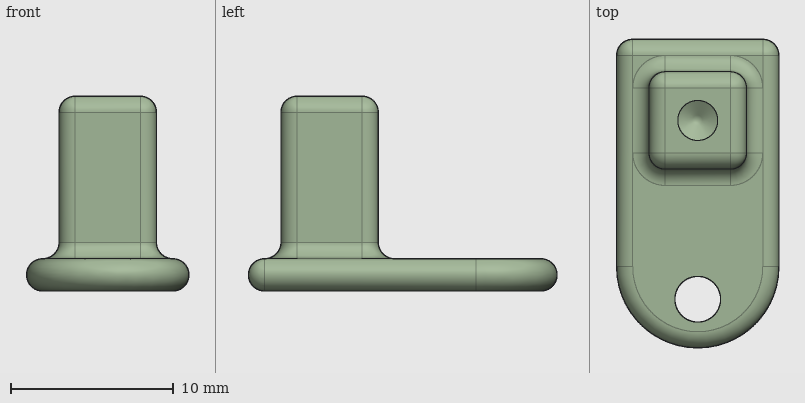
import cadquery as cq
import math

plate_width = 10.0
plate_length = 19.0
plate_thickness = 2.0
rim_radius = plate_thickness / 2
end_radius = plate_width / 2

post_side = 6.0
total_height = 12.0
edge_radius = 1.0

eyelet_diameter = 2.8
eyelet_from_back = 16.0
pilot_diameter = 2.46
pilot_depth = 8.0
drill_tip_angle = 118.0

back_y = 5.0
end_center_y = back_y - plate_length + end_radius
core_back_y = back_y - rim_radius
core_half_width = end_radius - rim_radius
core_length = core_back_y - end_center_y


def make_rod(start, direction, length):
    """Round bar that forms one straight stretch of the plate rim."""
    return cq.Workplane(cq.Solid.makeCylinder(rim_radius, length, cq.Vector(*start), cq.Vector(*direction)))


def make_plate():
    """Flat core surrounded by a half-round rim."""
    core = (
        cq.Workplane("XY")
        .moveTo(core_half_width, end_center_y)
        .lineTo(core_half_width, core_back_y)
        .lineTo(-core_half_width, core_back_y)
        .lineTo(-core_half_width, end_center_y)
        .threePointArc((0, end_center_y - core_half_width), (core_half_width, end_center_y))
        .close()
        .extrude(plate_thickness)
    )
    end_rim = (
        cq.Workplane("XZ", origin=(0, end_center_y, 0))
        .moveTo(0, 0)
        .lineTo(core_half_width, 0)
        .threePointArc((end_radius, rim_radius), (core_half_width, plate_thickness))
        .lineTo(0, plate_thickness)
        .close()
        .revolve(180, (0, 0, 0), (0, -1, 0))
    )
    plate = core.union(end_rim)
    for side in (-1, 1):
        x = side * core_half_width
        plate = plate.union(make_rod((x, end_center_y, rim_radius), (0, 1, 0), core_length))
    plate = plate.union(make_rod((-core_half_width, core_back_y, rim_radius), (1, 0, 0), 2 * core_half_width))
    corners = (
        cq.Workplane("XY", origin=(0, 0, rim_radius))
        .pushPoints([(-core_half_width, core_back_y), (core_half_width, core_back_y)])
        .sphere(rim_radius)
    )
    return plate.union(corners)


def make_post():
    """Rounded square post with a concave flare at its foot."""
    post_height = total_height - plate_thickness
    footing_side = 2 * post_side
    shaft = (
        cq.Workplane("XY", origin=(0, 0, plate_thickness))
        .rect(post_side, post_side)
        .extrude(post_height)
        .edges("|Z or >Z")
        .fillet(edge_radius)
    )
    footing = (
        cq.Workplane("XY")
        .rect(footing_side, footing_side)
        .extrude(plate_thickness)
    )
    foot_edges = cq.selectors.BoxSelector(
        (-post_side / 2 - edge_radius, -post_side / 2 - edge_radius, plate_thickness - edge_radius / 4),
        (post_side / 2 + edge_radius, post_side / 2 + edge_radius, plate_thickness + edge_radius / 4),
    )
    return shaft.union(footing).edges(foot_edges).fillet(edge_radius).cut(footing)


def make_pilot_hole():
    """Blind drilled hole with a conical bottom, opening at the top of the post."""
    radius = pilot_diameter / 2
    tip_length = radius / math.tan(math.radians(drill_tip_angle / 2))
    shoulder_z = total_height - pilot_depth
    return (
        cq.Workplane("XZ")
        .moveTo(0, total_height)
        .lineTo(radius, total_height)
        .lineTo(radius, shoulder_z)
        .lineTo(0, shoulder_z - tip_length)
        .close()
        .revolve(360, (0, 0, 0), (0, 1, 0))
    )


def make_eyelet():
    """Through hole near the rounded end of the plate."""
    return (
        cq.Workplane("XY")
        .center(0, back_y - eyelet_from_back)
        .circle(eyelet_diameter / 2)
        .extrude(plate_thickness)
    )


result = make_plate().union(make_post()).cut(make_pilot_hole()).cut(make_eyelet())